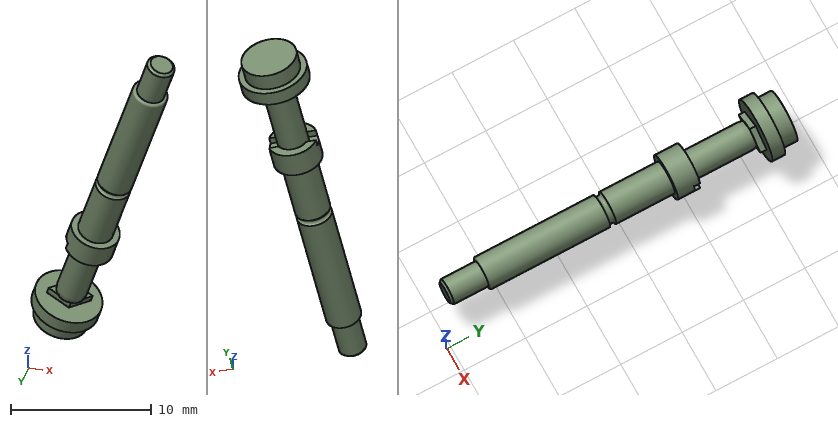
import cadquery as cq
import math


barrel_radius = 1.3
barrel_length = 15.0
barrel_end_fillet = 0.17
groove_distance = 5.0
groove_floor_radius = 1.1
groove_arc_radius = 0.25

tail_radius = 1.02
tail_length = 3.0
tail_chamfer = 0.2

collar_radius = 1.8
collar_length = 1.85
notch_width = 1.1
notch_depth = 0.5

shaft_radius = 1.13
shaft_rounding_radius = 1.3
shaft_rounding_length = 0.43

head_radius = 2.03
head_length = 1.25
flange_radius = 2.5
flange_length = 1.05

neck_half_width = 1.63
neck_half_height = 1.08
neck_length = 0.5

overall_length = 27.6

barrel_end = -barrel_length
tail_end = barrel_end - tail_length
head_end = tail_end + overall_length
flange_top = head_end - head_length
flange_bottom = flange_top - flange_length
shaft_end = flange_bottom - neck_length


def turned_pin():
    """Tail, barrel, collar and shaft as one revolved profile; X is the radius."""
    end_fillet_center = (barrel_radius - barrel_end_fillet, barrel_end + barrel_end_fillet)
    end_fillet_reach = barrel_end_fillet * math.sqrt(0.5)

    groove_center_radius = groove_floor_radius + groove_arc_radius
    groove_half_width = math.sqrt(groove_arc_radius**2 - (groove_center_radius - barrel_radius) ** 2)

    rounding_start = shaft_end - shaft_rounding_length

    def rounded_shaft_radius(distance):
        """Shaft radius at a distance beyond the start of its rounded end."""
        return shaft_radius - shaft_rounding_radius + math.sqrt(shaft_rounding_radius**2 - distance**2)

    half_rounding = shaft_rounding_length / 2
    return (
        cq.Workplane("XY")
        .moveTo(0, tail_end)
        .lineTo(tail_radius - tail_chamfer, tail_end)
        .lineTo(tail_radius, tail_end + tail_chamfer)
        .lineTo(tail_radius, barrel_end)
        .lineTo(end_fillet_center[0], barrel_end)
        .threePointArc(
            (end_fillet_center[0] + end_fillet_reach, end_fillet_center[1] - end_fillet_reach),
            (barrel_radius, end_fillet_center[1]),
        )
        .lineTo(barrel_radius, -groove_distance - groove_half_width)
        .threePointArc(
            (groove_floor_radius, -groove_distance),
            (barrel_radius, -groove_distance + groove_half_width),
        )
        .lineTo(barrel_radius, 0)
        .lineTo(collar_radius, 0)
        .lineTo(collar_radius, collar_length)
        .lineTo(shaft_radius, collar_length)
        .lineTo(shaft_radius, rounding_start)
        .threePointArc(
            (rounded_shaft_radius(half_rounding), rounding_start + half_rounding),
            (rounded_shaft_radius(shaft_rounding_length), shaft_end),
        )
        .lineTo(0, shaft_end)
        .close()
        .revolve(360, (0, 0, 0), (0, 1, 0))
    )


def plane_facing_y(plane_y):
    """Workplane at the given Y whose extrusions run towards +Y."""
    plane = cq.Plane(origin=(0, plane_y, 0), xDir=(1, 0, 0), normal=(0, 1, 0))
    return cq.Workplane(plane)


def collar_notches():
    """Slot across the collar's upper face, stopping at the shaft on each side."""
    floor = plane_facing_y(collar_length - notch_depth)
    slot = floor.rect(2 * collar_radius, notch_width).extrude(notch_depth)
    shaft = floor.circle(shaft_radius).extrude(notch_depth)
    return slot.cut(shaft)


def neck():
    """Diamond prism with its wide diagonal along X."""
    corners = [
        (neck_half_width, 0),
        (0, neck_half_height),
        (-neck_half_width, 0),
        (0, -neck_half_height),
    ]
    return plane_facing_y(shaft_end).polyline(corners).close().extrude(neck_length)


def head():
    """Wide flange with a narrower crown on top."""
    flange = plane_facing_y(flange_bottom).circle(flange_radius).extrude(flange_length)
    crown = plane_facing_y(flange_top).circle(head_radius).extrude(head_length)
    return flange.union(crown)


result = turned_pin().cut(collar_notches()).union(neck()).union(head())